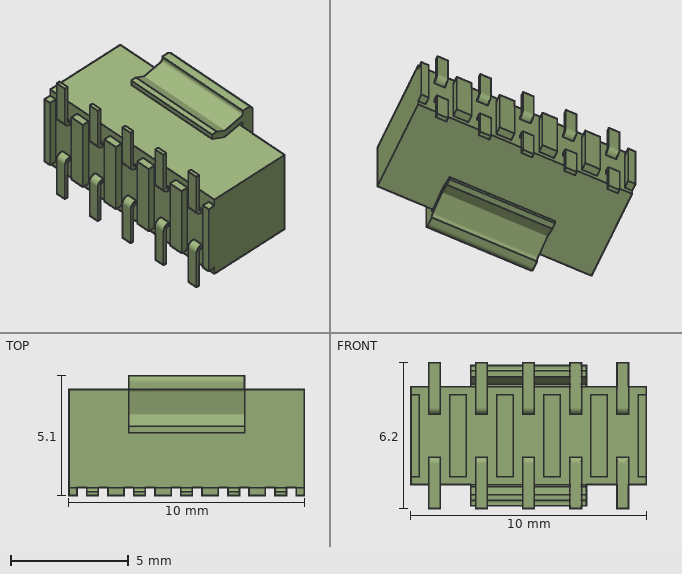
import cadquery as cq
import math


housing_length = 10.0
housing_depth = 4.17
housing_height = 4.17
rib_height = 3.49
rib_width = 0.7
rib_depth = 0.34

pin_count = 5
pitch = housing_length / pin_count
pin_width = 0.5
pin_thickness = 0.17
pin_inner_radius = 0.11
pin_span = 6.2
pin_row_inner_z = 0.91

cap_width = 4.92
cap_height = 5.97
cap_thickness = 0.59
cap_corner_radius = 0.3

arm_thickness = 0.34
arm_reach = 1.83
arm_bend_reach = 1.06
arm_bend_z = 2.52
arm_tip_z = 2.75
arm_in_angle = math.radians(12)
arm_out_angle = math.radians(25)
bend_inner_radius = 0.05
bend_outer_radius = bend_inner_radius + arm_thickness
root_outer_radius = 0.14
root_inner_radius = 0.09


def box(width, y_min, y_max, height, x_center=0.0):
    """Box centred on Z, spanning the given Y range."""
    center = (x_center, (y_min + y_max) / 2, 0)
    return cq.Workplane("XY").box(width, y_max - y_min, height).translate(center)


def extrude_along_x(profile, width, x_center=0.0):
    """Extrude a closed YZ profile symmetrically about x_center."""
    return profile.extrude(width / 2, both=True).translate((x_center, 0, 0))


def mirror_in_z(solid):
    return solid.union(solid.mirror("XY"))


def make_housing():
    housing = box(housing_length, 0, housing_depth, housing_height)
    for index in range(pin_count + 1):
        x = index * pitch - housing_length / 2
        housing = housing.union(box(rib_width, -rib_depth, 0, rib_height, x))
    envelope = box(housing_length, -rib_depth, housing_depth, housing_height)
    return housing.intersect(envelope)


def make_pin_pair(x_center):
    """Two L-shaped leads that leave the front face and bend outwards."""
    outer_radius = pin_inner_radius + pin_thickness
    front_y = -rib_depth
    back_y = front_y + pin_thickness
    bend_y = front_y + outer_radius
    bend_z = pin_row_inner_z + outer_radius
    slant = math.sqrt(0.5)
    outer_mid = (bend_y - outer_radius * slant, bend_z - outer_radius * slant)
    inner_mid = (bend_y - pin_inner_radius * slant, bend_z - pin_inner_radius * slant)
    profile = (
        cq.Workplane("YZ")
        .moveTo(0, pin_row_inner_z)
        .lineTo(bend_y, pin_row_inner_z)
        .threePointArc(outer_mid, (front_y, bend_z))
        .lineTo(front_y, pin_span / 2)
        .lineTo(back_y, pin_span / 2)
        .lineTo(back_y, bend_z)
        .threePointArc(inner_mid, (bend_y, pin_row_inner_z + pin_thickness))
        .lineTo(0, pin_row_inner_z + pin_thickness)
        .close()
    )
    return mirror_in_z(extrude_along_x(profile, pin_width, x_center))


def make_cap():
    plate_y = housing_depth
    in_slope = math.tan(arm_in_angle)
    out_slope = math.tan(arm_out_angle)

    outer_root = (plate_y, arm_bend_z + arm_bend_reach * in_slope)
    outer_bend = (plate_y - arm_bend_reach, arm_bend_z)
    outer_tip_y = outer_bend[0] - (arm_tip_z - arm_bend_z) / out_slope

    bisector = (arm_out_angle - arm_in_angle) / 2
    miter = arm_thickness / math.cos((arm_out_angle + arm_in_angle) / 2)
    inner_bend = (
        outer_bend[0] - miter * math.sin(bisector),
        outer_bend[1] - miter * math.cos(bisector),
    )
    inner_root = (plate_y, inner_bend[1] + (plate_y - inner_bend[0]) * in_slope)
    tip_y = plate_y - arm_reach
    inner_tip = (tip_y, inner_bend[1] + (inner_bend[0] - tip_y) * out_slope)

    overlap_y = plate_y + cap_thickness / 2
    profile = cq.Workplane("YZ").polyline([
        (overlap_y, outer_root[1]),
        outer_root,
        outer_bend,
        (outer_tip_y, arm_tip_z),
        (tip_y, arm_tip_z),
        inner_tip,
        inner_bend,
        inner_root,
        (overlap_y, inner_root[1]),
    ]).close()
    arms = mirror_in_z(extrude_along_x(profile, cap_width))

    plate = box(cap_width, plate_y, plate_y + cap_thickness, cap_height)
    plate = plate.edges("|X and >Y").fillet(cap_corner_radius)
    cap = plate.union(arms)

    rounded_corners = [
        (outer_root, root_outer_radius),
        (inner_root, root_inner_radius),
        (outer_bend, bend_inner_radius),
        (inner_bend, bend_outer_radius),
    ]
    for (y, z), radius in rounded_corners:
        for side in (1, -1):
            corner = cq.selectors.NearestToPointSelector((0, y, side * z))
            cap = cap.edges("|X").edges(corner).fillet(radius)
    return cap


result = make_housing().union(make_cap())
for pin_index in range(pin_count):
    pin_x = (pin_index + 0.5) * pitch - housing_length / 2
    result = result.union(make_pin_pair(pin_x))